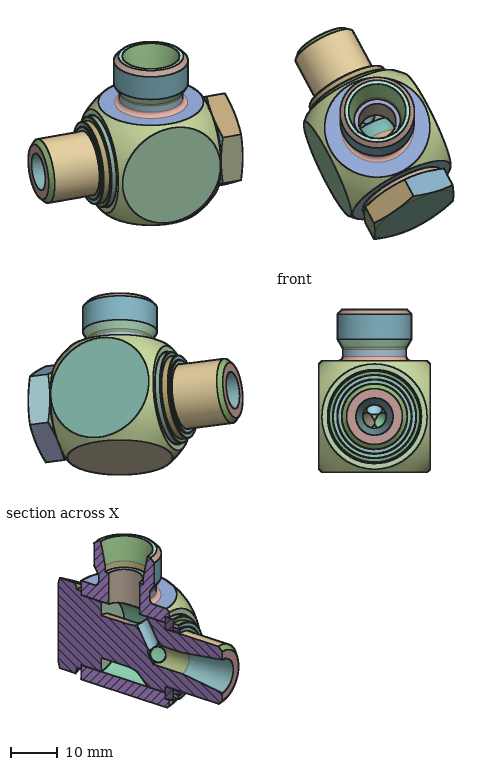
import cadquery as cq
import math


BLOCK_HALF = 12.0
BLOCK_BACK = 11.5
FACE_FLAT_DIA = 22.6
CROSS_BORE_DIA = 16.8
SEAT_DIA = 19.8
SEAT_DEPTH = 1.0
SEAT_CHAMFER = 0.2

OUTLET_TOP = 23.0
OUTLET_DIA = 16.0
OUTLET_CHAMFER = 1.0
THREAD_BOTTOM = 16.57
NECK_DIA = 13.7
NECK_RADIUS = 1.0
NECK_CONE_ANGLE = 32
CONE_MOUTH_DIA = 12.3
CONE_END_DIA = 10
CONE_HALF_ANGLE = 12
OUTLET_FLOOR_DEPTH = 7.0
OUTLET_BORE_DIA = 8.0

HEX_FLATS = 19.0
HEAD_BACK = 17.5
HEAD_FRONT = 12.5
HEX_CHAMFER_ANGLE = 15
COLLAR_CHAMFER = 0.15
BACK_LAND_START = 6.0
WAIST_DIA = 10.4
WAIST_END = -0.7
WAIST_ARC_RADIUS = 7.5
WAIST_ARC_ANGLE = 21.5
FLANK_ANGLE = 45
STUB_DIA = 14.0
STUB_TIP = -26.0
STUB_CHAMFER = 1.0

MOUTH_DIA = 8.0
MOUTH_HALF_ANGLE = 8
BOLT_BORE_DIA = 5.0
BOLT_BORE_END = -7.7
DRILL_HALF_ANGLE = 59
PORT_COUNT = 3
PORT_DIA = 3.5
PORT_ANGLE = 60
PORT_ORIGIN = -8.8
PORT_LENGTH = 13.05

SEAT_RING_FRONT = -13.1
RING_CHAMFER = 0.15
RETAINER_DIA = 18.0
RETAINER_FRONT = -14.57
SEAL_DIA = 15.8
SEAL_BORE_DIA = 14.2
SEAL_FRONT = -14.75
RETAINER_BORE_CHAMFER = 0.17

INNER_RIM = 0
OUTER_RIM = -1

SEAT_FLOOR = SEAT_DEPTH - BLOCK_HALF


def tan_deg(angle):
    return math.tan(math.radians(angle))


def turn_about_y(profile):
    """Revolve an XY profile, x being the radius, about the Y axis."""
    return profile.close().revolve(360, (0, 0, 0), (0, 1, 0))


def turn_about_z(profile):
    """Revolve an XZ profile, x being the radius, about the Z axis."""
    return profile.close().revolve(360, (0, 0, 0), (0, 1, 0))


def cylinder_y(diameter, start, end):
    """Cylinder on the Y axis between two y positions."""
    return cq.Workplane("XZ", origin=(0, start, 0)).circle(diameter / 2).extrude(start - end)


def ring(outer_dia, inner_dia, back, front):
    return cylinder_y(outer_dia, back, front).cut(cylinder_y(inner_dia, back, front))


def chamfer_front_rim(body, rim, size):
    """Chamfer the inner or the outer rim of a ring's front face."""
    return body.faces("<Y").edges(cq.selectors.RadiusNthSelector(rim)).chamfer(size)


def make_block():
    depth = BLOCK_HALF + BLOCK_BACK
    block = cq.Workplane("XY").box(2 * BLOCK_HALF, depth, 2 * BLOCK_HALF)
    block = block.translate((0, BLOCK_BACK - depth / 2, 0))
    return block.intersect(cq.Workplane("XY").sphere(math.hypot(BLOCK_HALF, FACE_FLAT_DIA / 2)))


def make_outlet():
    """Outside of the nozzle: threaded end, undercut neck and root fillet."""
    neck = NECK_DIA / 2
    thread = OUTLET_DIA / 2
    cone_turn = math.radians(NECK_CONE_ANGLE)
    corner_z = THREAD_BOTTOM - (thread - neck) / tan_deg(NECK_CONE_ANGLE)
    tangent_length = NECK_RADIUS * tan_deg(NECK_CONE_ANGLE / 2)
    arc_start = corner_z - tangent_length
    arc_end = (
        neck + tangent_length * math.sin(cone_turn),
        corner_z + tangent_length * math.cos(cone_turn),
    )
    root_z = BLOCK_HALF + NECK_RADIUS
    profile = (
        cq.Workplane("XZ")
        .lineTo(neck + NECK_RADIUS, 0)
        .lineTo(neck + NECK_RADIUS, BLOCK_HALF)
        .radiusArc((neck, root_z), NECK_RADIUS)
        .lineTo(neck, arc_start)
        .radiusArc(arc_end, NECK_RADIUS)
        .lineTo(thread, THREAD_BOTTOM)
        .lineTo(thread, OUTLET_TOP - OUTLET_CHAMFER)
        .lineTo(thread - OUTLET_CHAMFER, OUTLET_TOP)
        .lineTo(0, OUTLET_TOP)
    )
    return turn_about_z(profile)


def make_outlet_bore():
    """Tube cone, tube socket and the bore down to the bolt chamber."""
    cone_depth = (CONE_MOUTH_DIA - CONE_END_DIA) / 2 / tan_deg(CONE_HALF_ANGLE)
    floor_z = OUTLET_TOP - OUTLET_FLOOR_DEPTH
    profile = (
        cq.Workplane("XZ")
        .lineTo(OUTLET_BORE_DIA / 2, 0)
        .lineTo(OUTLET_BORE_DIA / 2, floor_z)
        .lineTo(CONE_END_DIA / 2, floor_z)
        .lineTo(CONE_END_DIA / 2, OUTLET_TOP - cone_depth)
        .lineTo(CONE_MOUTH_DIA / 2, OUTLET_TOP)
        .lineTo(0, OUTLET_TOP)
    )
    return turn_about_z(profile)


def make_housing():
    seat = cylinder_y(SEAT_DIA, SEAT_FLOOR, -BLOCK_HALF)
    seat_edge = (
        cq.Workplane("XZ", origin=(0, SEAT_CHAMFER - BLOCK_HALF, 0))
        .circle(SEAT_DIA / 2)
        .workplane(offset=SEAT_CHAMFER)
        .circle(SEAT_DIA / 2 + SEAT_CHAMFER)
        .loft()
    )
    cross_bore = cylinder_y(CROSS_BORE_DIA, BLOCK_BACK, -BLOCK_HALF)
    housing = make_block().union(make_outlet()).cut(make_outlet_bore())
    return housing.cut(cross_bore).cut(seat).cut(seat_edge)


def make_head():
    """Hexagon with corners on +Z and -Z, its corners chamfered at both ends."""
    corner = HEX_FLATS / 2 / math.cos(math.pi / 6)
    drop = (corner - HEX_FLATS / 2) * tan_deg(HEX_CHAMFER_ANGLE)
    hexagon = (
        cq.Workplane("XZ", origin=(0, HEAD_BACK, 0))
        .polygon(6, 2 * corner)
        .extrude(HEAD_BACK - HEAD_FRONT)
        .rotate((0, 0, 0), (0, 1, 0), 30)
    )
    envelope = (
        cq.Workplane("XY")
        .moveTo(0, HEAD_FRONT)
        .lineTo(HEX_FLATS / 2, HEAD_FRONT)
        .lineTo(corner, HEAD_FRONT + drop)
        .lineTo(corner, HEAD_BACK - drop)
        .lineTo(HEX_FLATS / 2, HEAD_BACK)
        .lineTo(0, HEAD_BACK)
    )
    return hexagon.intersect(turn_about_y(envelope))


def make_shank():
    """Collar, two lands with a waist between them, and the threaded stub."""
    collar = HEX_FLATS / 2
    land = CROSS_BORE_DIA / 2
    waist = WAIST_DIA / 2
    stub = STUB_DIA / 2
    turn = math.radians(WAIST_ARC_ANGLE)
    crease_radius = waist + WAIST_ARC_RADIUS * (1 - math.cos(turn))
    crease_y = WAIST_END - WAIST_ARC_RADIUS * math.sin(turn)
    flank_end = crease_y - (land - crease_radius) / tan_deg(FLANK_ANGLE)
    profile = (
        cq.Workplane("XY")
        .moveTo(0, HEAD_FRONT)
        .lineTo(collar, HEAD_FRONT)
        .lineTo(collar, BLOCK_BACK + COLLAR_CHAMFER)
        .lineTo(collar - COLLAR_CHAMFER, BLOCK_BACK)
        .lineTo(land, BLOCK_BACK)
        .lineTo(land, BACK_LAND_START)
        .lineTo(waist, BACK_LAND_START)
        .lineTo(waist, WAIST_END)
        .radiusArc((crease_radius, crease_y), -WAIST_ARC_RADIUS)
        .lineTo(land, flank_end)
        .lineTo(land, SEAT_FLOOR)
        .lineTo(stub, SEAT_FLOOR)
        .lineTo(stub, STUB_TIP + STUB_CHAMFER)
        .lineTo(stub - STUB_CHAMFER, STUB_TIP)
        .lineTo(0, STUB_TIP)
    )
    return turn_about_y(profile)


def make_bolt_bore():
    """Tapered mouth leading into a drilled blind bore with a conical end."""
    mouth_depth = (MOUTH_DIA - BOLT_BORE_DIA) / 2 / tan_deg(MOUTH_HALF_ANGLE)
    drill_tip = BOLT_BORE_END + BOLT_BORE_DIA / 2 / tan_deg(DRILL_HALF_ANGLE)
    profile = (
        cq.Workplane("XY")
        .moveTo(0, STUB_TIP)
        .lineTo(MOUTH_DIA / 2, STUB_TIP)
        .lineTo(BOLT_BORE_DIA / 2, STUB_TIP + mouth_depth)
        .lineTo(BOLT_BORE_DIA / 2, BOLT_BORE_END)
        .lineTo(0, drill_tip)
    )
    return turn_about_y(profile)


def make_port(angle):
    """Slanted drilling from the bolt axis out to the flank of the waist."""
    slope = math.radians(PORT_ANGLE)
    start = cq.Vector(0, PORT_ORIGIN, 0)
    direction = cq.Vector(0, math.cos(slope), math.sin(slope))
    port = cq.Solid.makeCylinder(PORT_DIA / 2, PORT_LENGTH, start, direction)
    return port.rotate(cq.Vector(0, 0, 0), cq.Vector(0, 1, 0), angle)


def make_bolt():
    bolt = make_head().union(make_shank()).cut(make_bolt_bore())
    for index in range(PORT_COUNT):
        bolt = bolt.cut(cq.Workplane(obj=make_port(index * 360 / PORT_COUNT)))
    return bolt


def make_seat_ring():
    """Ring pressed into the front recess of the housing."""
    body = ring(SEAT_DIA, STUB_DIA, SEAT_FLOOR, SEAT_RING_FRONT)
    return chamfer_front_rim(body, OUTER_RIM, RING_CHAMFER)


def make_retainer_ring():
    """Ring around the seal, chamfered outside and inside at its front."""
    body = ring(RETAINER_DIA, SEAL_DIA, SEAT_RING_FRONT, RETAINER_FRONT)
    body = chamfer_front_rim(body, OUTER_RIM, RING_CHAMFER)
    return chamfer_front_rim(body, INNER_RIM, RETAINER_BORE_CHAMFER)


def make_seal_ring():
    """Seal inside the retainer, with a small clearance around the stub."""
    return ring(SEAL_DIA, SEAL_BORE_DIA, SEAT_RING_FRONT, SEAL_FRONT)


housing = make_housing()
bolt = make_bolt()
seat_ring = make_seat_ring()
retainer_ring = make_retainer_ring()
seal_ring = make_seal_ring()

result = cq.Compound.makeCompound(
    [housing.val(), bolt.val(), seat_ring.val(), retainer_ring.val(), seal_ring.val()]
)